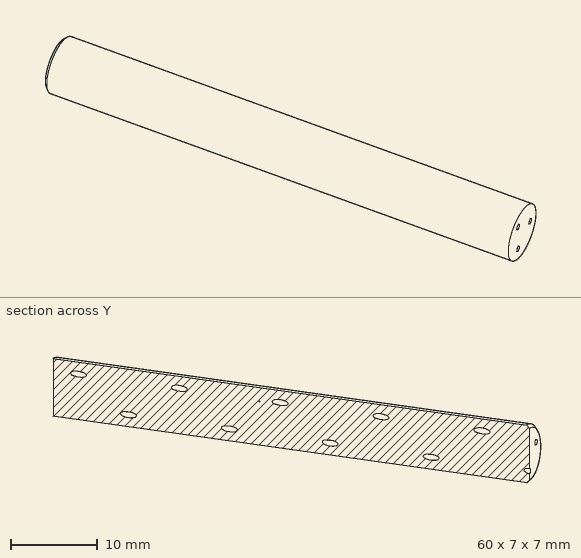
import cadquery as cq

length = 60.0
diameter = 7.0
chamfer = 0.35

hole_count = 3
hole_diameter = 0.65
hole_circle_radius = 2.05
helix_pitch = 38.1
first_hole_angle = -87.0


def make_rod():
    """Plain cylinder with its -X rim chamfered."""
    rod = cq.Workplane("YZ").circle(diameter / 2).extrude(length / 2, both=True)
    return rod.faces("<X").chamfer(chamfer)


def make_coolant_holes():
    """Through cutters, evenly spaced and twisted together around the rod axis."""
    twist_angle = 360 * length / helix_pitch
    return (
        cq.Workplane("YZ", origin=(-length / 2, 0, 0))
        .polarArray(hole_circle_radius, first_hole_angle, 360, hole_count)
        .circle(hole_diameter / 2)
        .twistExtrude(length, twist_angle)
    )


result = make_rod().cut(make_coolant_holes()).solids()